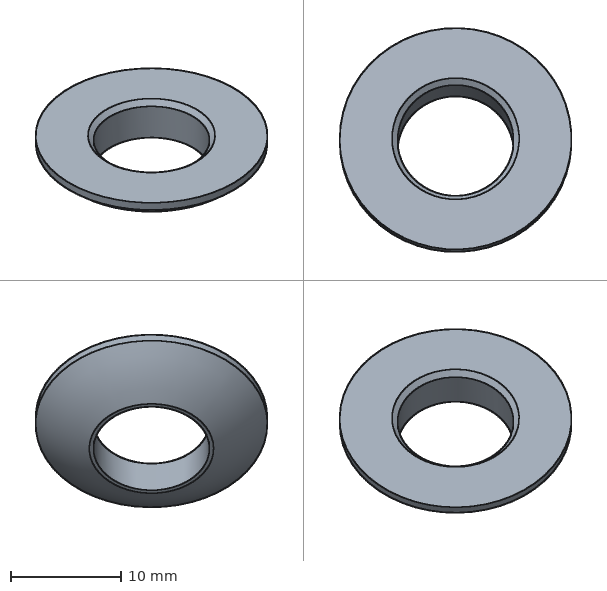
import cadquery as cq
import math

outer_diameter = 21.0
outer_radius = outer_diameter / 2
bore_radius = outer_diameter / 4
height = 4.0
sphere_radius = 15.0
seat_bottom_radius = 5.63
bore_chamfer = 0.5

sphere_center_z = math.sqrt(sphere_radius**2 - seat_bottom_radius**2)


def sphere_height(radius):
    """Z of the spherical seat at a given distance from the axis."""
    return sphere_center_z - math.sqrt(sphere_radius**2 - radius**2)


seat_middle_radius = (seat_bottom_radius + outer_radius) / 2

section = (
    cq.Workplane("XZ")
    .moveTo(bore_radius, 0)
    .lineTo(seat_bottom_radius, 0)
    .threePointArc(
        (seat_middle_radius, sphere_height(seat_middle_radius)),
        (outer_radius, sphere_height(outer_radius)),
    )
    .lineTo(outer_radius, height)
    .lineTo(bore_radius + bore_chamfer, height)
    .lineTo(bore_radius, height - bore_chamfer)
    .close()
)

result = section.revolve(360, (0, 0, 0), (0, 1, 0))